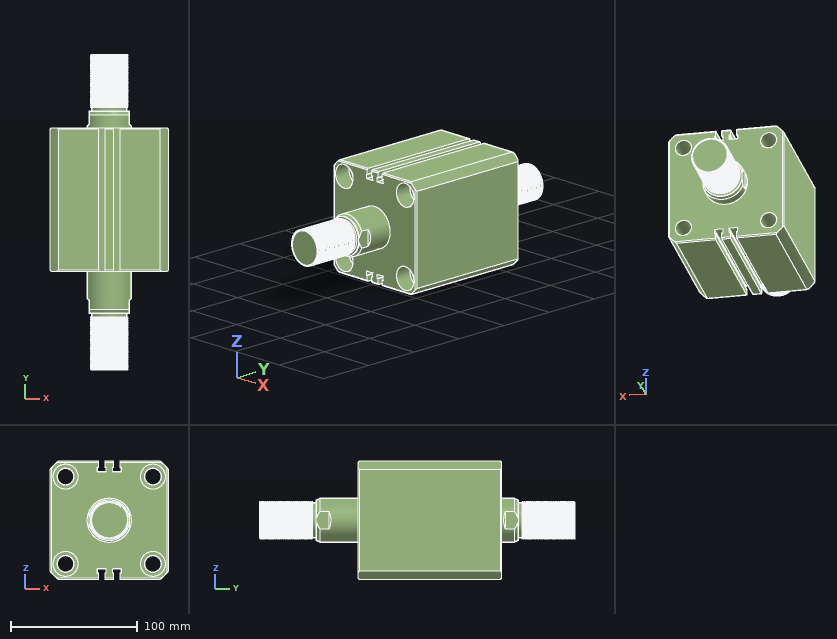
import cadquery as cq


HOUSING_WIDTH = 94.0
HOUSING_LENGTH = 114.0
CORNER_RADIUS = 62.0
END_CHAMFER = 1.0

HOLE_SPACING = 69.2
HOLE_DIAMETER = 13.0
COUNTERBORE_DIAMETER = 19.8
COUNTERBORE_DEPTH = 15.0

SLOT_SPACING = 12.0
SLOT_MOUTH_WIDTH = 5.0
SLOT_INNER_WIDTH = 6.8
SLOT_MOUTH_DEPTH = 5.0
SLOT_DEPTH = 8.5

ROD_DIAMETER = 35.0
FRONT_SHANK_LENGTH = 33.5
REAR_SHANK_LENGTH = 13.5
SHANK_TAPER_LENGTH = 2.8
SHANK_TIP_DIAMETER = 32.2
SHANK_TIP_LENGTH = 0.8
FLAT_WIDTH = 32.0
FLAT_LENGTH = 10.5
NECK_DIAMETER = 28.0
NECK_LENGTH = 2.5
THREAD_DIAMETER = 30.0
THREAD_ROOT_DIAMETER = 28.0
THREAD_PITCH = 1.5
THREAD_TURNS = 28
THREAD_START_ANGLE = 90
RIDGE_ROOT_WIDTH = 1.2
RIDGE_CREST_WIDTH = 0.2
RIDGE_OVERLAP = 0.2


def make_block():
    """Square block with chamfered ends, its corners turned to a cylinder about the rod axis."""
    block = (
        cq.Workplane("XZ")
        .rect(HOUSING_WIDTH, HOUSING_WIDTH)
        .extrude(-HOUSING_LENGTH)
        .faces("<Y or >Y")
        .chamfer(END_CHAMFER)
    )
    turned_envelope = cq.Workplane("XZ").circle(CORNER_RADIUS).extrude(-HOUSING_LENGTH)
    return block.intersect(turned_envelope)


def cut_mounting_holes(block):
    """Four through holes, counterbored from the front face."""
    holes = (
        cq.Workplane("XZ")
        .rect(HOLE_SPACING, HOLE_SPACING, forConstruction=True)
        .vertices()
        .circle(HOLE_DIAMETER / 2)
        .extrude(-HOUSING_LENGTH)
    )
    counterbores = (
        cq.Workplane("XZ")
        .rect(HOLE_SPACING, HOLE_SPACING, forConstruction=True)
        .vertices()
        .circle(COUNTERBORE_DIAMETER / 2)
        .extrude(-COUNTERBORE_DEPTH)
    )
    return block.cut(holes).cut(counterbores)


def make_slot_cutter(center_x, side):
    """Full-length T-slot; side is +1 for the top face and -1 for the bottom face."""
    face_z = side * HOUSING_WIDTH / 2
    inner_height = SLOT_DEPTH - SLOT_MOUTH_DEPTH
    inner_z = face_z - side * (SLOT_MOUTH_DEPTH + inner_height / 2)
    mouth_z = face_z - side * SLOT_MOUTH_DEPTH / 2
    mouth = (
        cq.Workplane("XZ")
        .center(center_x, mouth_z)
        .rect(SLOT_MOUTH_WIDTH, SLOT_MOUTH_DEPTH)
        .extrude(-HOUSING_LENGTH)
    )
    inner = (
        cq.Workplane("XZ")
        .center(center_x, inner_z)
        .rect(SLOT_INNER_WIDTH, inner_height)
        .extrude(-HOUSING_LENGTH)
    )
    return mouth.union(inner)


def make_housing():
    housing = cut_mounting_holes(make_block())
    for side in (1, -1):
        for center_x in (-SLOT_SPACING / 2, SLOT_SPACING / 2):
            housing = housing.cut(make_slot_cutter(center_x, side))
    return housing


def make_thread_ridge(length):
    """Right-handed helical ridge of trapezoidal section about the Z axis, cut flat at both ends."""
    root_radius = THREAD_ROOT_DIAMETER / 2
    crest_radius = THREAD_DIAMETER / 2
    foot_radius = root_radius - RIDGE_OVERLAP
    flank_run = (RIDGE_ROOT_WIDTH - RIDGE_CREST_WIDTH) / 2
    flank_slope = flank_run / (crest_radius - root_radius)
    half_crest = RIDGE_CREST_WIDTH / 2
    half_foot = RIDGE_ROOT_WIDTH / 2 + flank_slope * RIDGE_OVERLAP

    helix = cq.Wire.makeHelix(THREAD_PITCH, length + 2 * THREAD_PITCH, foot_radius)
    ridge = (
        cq.Workplane("XZ")
        .polyline([
            (foot_radius, -half_foot),
            (crest_radius, -half_crest),
            (crest_radius, half_crest),
            (foot_radius, half_foot),
        ])
        .close()
        .sweep(cq.Workplane(helix), isFrenet=True)
        .translate((0, 0, -THREAD_PITCH))
    )
    envelope = cq.Workplane("XY").circle(THREAD_DIAMETER).extrude(length)
    return ridge.intersect(envelope)


def make_stud():
    """Neck and threaded length along +Z, starting at the origin."""
    thread_length = THREAD_TURNS * THREAD_PITCH
    neck = cq.Workplane("XY").circle(NECK_DIAMETER / 2).extrude(NECK_LENGTH)
    core = cq.Workplane("XY").circle(THREAD_ROOT_DIAMETER / 2).extrude(thread_length)
    thread = core.union(make_thread_ridge(thread_length))
    stud = neck.union(thread.translate((0, 0, NECK_LENGTH)))
    return stud.rotate((0, 0, 0), (0, 0, 1), THREAD_START_ANGLE)


def make_flat_cutter(shank_length):
    """Cutter for the +X wrench flat: flat to the shank tip, with a 45 degree run-out slope behind."""
    flat_x = FLAT_WIDTH / 2
    rod_radius = ROD_DIAMETER / 2
    flat_start = shank_length - FLAT_LENGTH
    return (
        cq.Workplane("XZ")
        .polyline([
            (flat_x, shank_length),
            (flat_x, flat_start),
            (rod_radius, flat_start - (rod_radius - flat_x)),
            (rod_radius, shank_length),
        ])
        .close()
        .extrude(rod_radius, both=True)
    )


def make_shank(shank_length):
    """Plain round shank along +Z with a tapered tip and two wrench flats facing -X and +X."""
    rod_radius = ROD_DIAMETER / 2
    tip_radius = SHANK_TIP_DIAMETER / 2
    tip_start = shank_length - SHANK_TIP_LENGTH
    shank = (
        cq.Workplane("XZ")
        .polyline([
            (0, 0),
            (rod_radius, 0),
            (rod_radius, tip_start - SHANK_TAPER_LENGTH),
            (tip_radius, tip_start),
            (tip_radius, shank_length),
            (0, shank_length),
        ])
        .close()
        .revolve(360, (0, 0, 0), (0, 1, 0))
    )
    flat_cutter = make_flat_cutter(shank_length)
    return shank.cut(flat_cutter).cut(flat_cutter.mirror("YZ"))


def make_rod_end(stud, shank_length):
    """Shank standing on the XY plane with the stud on its tip."""
    return make_shank(shank_length).union(stud.translate((0, 0, shank_length)))


housing = make_housing()

stud = make_stud()
front_rod_end = make_rod_end(stud, FRONT_SHANK_LENGTH).rotate((0, 0, 0), (1, 0, 0), 90)
rear_rod_end = (
    make_rod_end(stud, REAR_SHANK_LENGTH)
    .rotate((0, 0, 0), (1, 0, 0), -90)
    .translate((0, HOUSING_LENGTH, 0))
)

result = cq.Compound.makeCompound([housing.val(), front_rod_end.val(), rear_rod_end.val()])